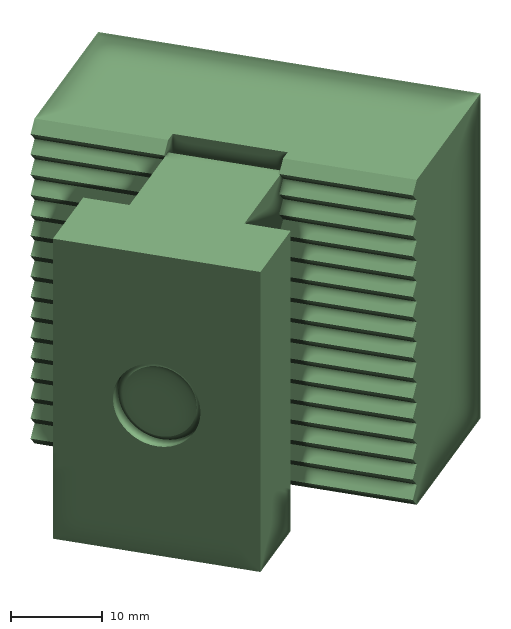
import cadquery as cq


jaw_width = 44.0
jaw_height = 40.0
overall_length = 44.4

tooth_count = 16
tooth_depth = 1.35
tooth_pitch = jaw_height / tooth_count

neck_width = 13.25
neck_length = 12.95
head_width = 23.9
head_length = 10.12
nut_height = 36.95
nut_length = neck_length + head_length

jaw_depth = overall_length - nut_length
slot_depth = 1.5

screw_diameter = 10.1
tip_chamfer = 0.75
tip_recess = 0.98
tip_y = tip_recess - nut_length
screw_length = jaw_depth - tip_y


def y_cylinder(diameter, start_y, length):
    """Round bar on the Y axis, running from start_y towards +Y."""
    plane = cq.Workplane("XZ", origin=(0, start_y, 0))
    return plane.circle(diameter / 2).extrude(-length)


def make_jaw():
    """Block with horizontal V serrations, a vertical key slot and a screw hole."""
    top = jaw_height / 2
    profile = [(jaw_depth, -top), (jaw_depth, top), (0, top)]
    for tooth in range(tooth_count):
        tooth_top = top - tooth * tooth_pitch
        profile.append((-tooth_depth, tooth_top - tooth_pitch / 2))
        profile.append((0, tooth_top - tooth_pitch))
    block = cq.Workplane("YZ").polyline(profile).close().extrude(jaw_width / 2, both=True)

    slot_length = tooth_depth + slot_depth
    slot_center_y = slot_depth - slot_length / 2
    slot = cq.Workplane("XY").box(neck_width, slot_length, jaw_height)
    slot = slot.translate((0, slot_center_y, 0))

    screw_hole = y_cylinder(screw_diameter, 0, jaw_depth)
    return block.cut(slot).cut(screw_hole)


def make_t_nut():
    """T-shaped nut: its neck stops at the serration roots, leaving a gap behind it in the slot."""
    neck_half = neck_width / 2
    head_half = head_width / 2
    outline = [
        (-neck_half, 0),
        (neck_half, 0),
        (neck_half, -neck_length),
        (head_half, -neck_length),
        (head_half, -nut_length),
        (-head_half, -nut_length),
        (-head_half, -neck_length),
        (-neck_half, -neck_length),
    ]
    nut = cq.Workplane("XY").polyline(outline).close().extrude(nut_height / 2, both=True)
    screw_hole = y_cylinder(screw_diameter, -nut_length, nut_length)
    return nut.cut(screw_hole)


def make_screw():
    """Plain screw through jaw and nut, its chamfered tip set back inside the nut."""
    return y_cylinder(screw_diameter, tip_y, screw_length).faces("<Y").chamfer(tip_chamfer)


jaw = make_jaw()
t_nut = make_t_nut()
screw = make_screw()

result = cq.Compound.makeCompound([jaw.val(), t_nut.val(), screw.val()])